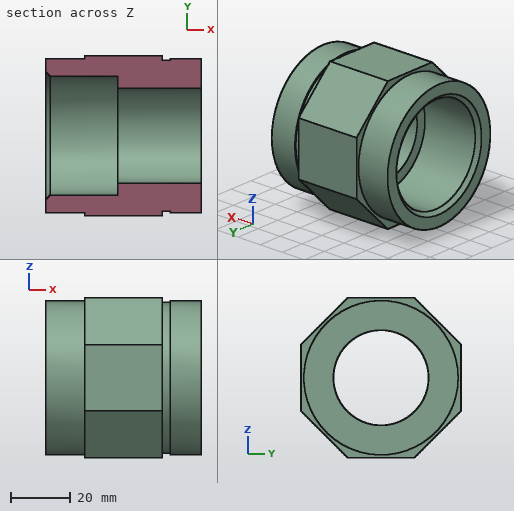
import cadquery as cq

total_length = 52.4
socket_collar_length = total_length / 4
octagon_length = total_length / 2
groove_length = total_length / 20
end_collar_length = total_length - socket_collar_length - octagon_length - groove_length

collar_diameter = 52.0
groove_diameter = 51.0
octagon_across_flats = 54.0
octagon_sides = 8

bore_diameter = 32.0
socket_diameter = 40.0
socket_mouth_diameter = 43.0
socket_depth = 24.2
mouth_depth = 1.5


def cylinder(diameter, start_x, length):
    """Cylinder on the X axis, starting at start_x."""
    return cq.Workplane("YZ", origin=(start_x, 0, 0)).circle(diameter / 2).extrude(length)


def octagon(across_flats, start_x, length):
    """Octagonal prism on the X axis with flats facing Y and Z."""
    workplane = cq.Workplane("YZ", origin=(start_x, 0, 0))
    return workplane.polygon(octagon_sides, across_flats, circumscribed=True).extrude(length)


def outer_body():
    """Collar, octagonal grip, groove and end collar in a row."""
    octagon_start = socket_collar_length
    groove_start = octagon_start + octagon_length
    end_collar_start = groove_start + groove_length
    return (
        cylinder(collar_diameter, 0, socket_collar_length)
        .union(octagon(octagon_across_flats, octagon_start, octagon_length))
        .union(cylinder(groove_diameter, groove_start, groove_length))
        .union(cylinder(collar_diameter, end_collar_start, end_collar_length))
    )


def stepped_bore():
    """Through bore with a wider socket and a conical mouth at the X = 0 end."""
    profile = [
        (0, 0),
        (0, socket_mouth_diameter / 2),
        (mouth_depth, socket_diameter / 2),
        (socket_depth, socket_diameter / 2),
        (socket_depth, bore_diameter / 2),
        (total_length, bore_diameter / 2),
        (total_length, 0),
    ]
    return cq.Workplane("XY").polyline(profile).close().revolve(360, (0, 0, 0), (1, 0, 0))


result = outer_body().cut(stepped_bore())